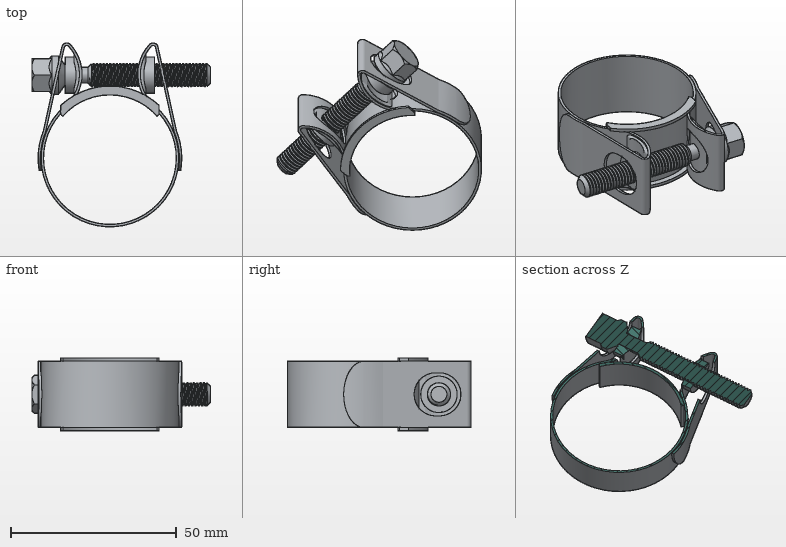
import cadquery as cq
import math

BAND_INNER_R = 20.0
STRAP_T = 0.8
STRAP_W = 20.0
BAND_OUTER_R = BAND_INNER_R + STRAP_T
TAB_GAP = 0.1
TAB_INNER_R = BAND_OUTER_R + TAB_GAP
TAB_ROUND_START_Y = 2.4
TAB_TIP_Y = -3.75
LOOP_TOP_Y = 34.73
LOOP_FOLD_R = 1.55
BOW_R = 13.3
LEG_LEAN = math.radians(12.4)
BOW_CENTRE_X = -21.7
SLOT_W = 13.0
SLOT_L = 14.1
SLOT_Y = 24.57

BRIDGE_T = 1.0
BRIDGE_HALF_L = 14.87
BRIDGE_FLANGE_R = 21.75
BRIDGE_W = STRAP_W + 2 * BRIDGE_T
BRIDGE_END_ANGLE = math.radians(41.5)

BOLT_Y = 25.0
BOLT_START_X = -23.58
BOLT_END_X = 30.42
HEX_FLATS = 10.0
FLANGE_R = 5.85
FLANGE_EDGE_X = -17.5
FLANGE_FACE_X = -15.55
SEAT_R = 3.0
SHANK_R = 2.4
THREAD_R = 3.5
THREAD_START_X = -6.65
THREAD_PITCH = 1.0
THREAD_DEPTH = 0.55
THREAD_GROOVE_W = 0.7
THREAD_LIP = 0.1
THREAD_CHAMFER = THREAD_R - SHANK_R

PLATE_FLAT_X = 10.9
PLATE_H = 19.0
PLATE_EDGE_R = 1.0
HOLLOW_HALF_W = 4.16
HOLLOW_DEPTH = 0.67
BOSS_R = 5.5
BOSS_END_X = 13.5

CENTRE_DISTANCE = BOW_R + BAND_INNER_R
BOW_CENTRE_Y = math.sqrt(CENTRE_DISTANCE**2 - BOW_CENTRE_X**2)
FOLD_CENTRE_Y = LOOP_TOP_Y - LOOP_FOLD_R
FOLD_CENTRE_X = BOW_CENTRE_X + math.sqrt((BOW_R - LOOP_FOLD_R) ** 2 - (FOLD_CENTRE_Y - BOW_CENTRE_Y) ** 2)
BOW_CENTRE = (BOW_CENTRE_X, BOW_CENTRE_Y)
FOLD_CENTRE = (FOLD_CENTRE_X, FOLD_CENTRE_Y)


def polar(centre, radius, angle):
    return (centre[0] + radius * math.cos(angle), centre[1] + radius * math.sin(angle))


def mirrored(body):
    return body.mirror("YZ")


def along_x(start_x, y=BOLT_Y):
    """Plane facing +X, with its local axes along Y and Z, centred at the given height."""
    return cq.Workplane("YZ", origin=(start_x, y, 0))


def strap_face(depth):
    """Points along one strap surface, at a depth below the outside of the loops.

    They run from the left tab over its loop, around the band and over the right loop to its tab.
    On the left they are: tab end, tab middle, crease, fold start, fold middle, fold end, bow middle
    and bow end. Then comes the bottom of the band and the mirror image of the left.
    """
    tab_r = TAB_INNER_R + STRAP_T - depth
    fold_r = LOOP_FOLD_R - depth
    bow_r = BOW_R - depth
    band_r = BAND_INNER_R + depth
    fold_start_angle = math.pi - LEG_LEAN
    fold_end_angle = math.atan2(FOLD_CENTRE_Y - BOW_CENTRE_Y, FOLD_CENTRE_X - BOW_CENTRE_X)
    bow_end_angle = math.atan2(-BOW_CENTRE_Y, -BOW_CENTRE_X)

    fold_start = polar(FOLD_CENTRE, fold_r, fold_start_angle)
    leg_distance = -fold_start[0] * math.cos(LEG_LEAN) + fold_start[1] * math.sin(LEG_LEAN)
    crease_angle = fold_start_angle - math.acos(leg_distance / tab_r)
    tab_end_angle = math.pi - math.asin(TAB_TIP_Y / tab_r)
    origin = (0, 0)
    left = [
        polar(origin, tab_r, tab_end_angle),
        polar(origin, tab_r, (tab_end_angle + crease_angle) / 2),
        polar(origin, tab_r, crease_angle),
        fold_start,
        polar(FOLD_CENTRE, fold_r, (fold_start_angle + fold_end_angle) / 2),
        polar(FOLD_CENTRE, fold_r, fold_end_angle),
        polar(BOW_CENTRE, bow_r, (fold_end_angle + bow_end_angle) / 2),
        polar(BOW_CENTRE, bow_r, bow_end_angle),
    ]
    right = [(-x, y) for x, y in reversed(left)]
    return left + [(0, -band_r)] + right


def trace_face(sketch, points):
    """Draw one strap surface from its first point; it reads the same from either end."""
    return (
        sketch.threePointArc(points[1], points[2])
        .lineTo(*points[3])
        .threePointArc(points[4], points[5])
        .threePointArc(points[6], points[7])
        .threePointArc(points[8], points[9])
        .threePointArc(points[10], points[11])
        .threePointArc(points[12], points[13])
        .lineTo(*points[14])
        .threePointArc(points[15], points[16])
    )


def tab_corners():
    """Material removed from the end of the tab to round it; the band under the tab is spared."""
    round_l = TAB_ROUND_START_Y - TAB_TIP_Y
    block = (
        cq.Workplane("XY")
        .box(4 * STRAP_T, 2 * round_l, 2 * STRAP_W)
        .translate((-TAB_INNER_R, TAB_ROUND_START_Y - round_l, 0))
    )
    rounded_end = (
        along_x(-2 * BAND_OUTER_R, TAB_ROUND_START_Y)
        .ellipse(round_l, STRAP_W / 2)
        .extrude(2 * BAND_OUTER_R)
    )
    band = cq.Workplane("XY").circle(TAB_INNER_R - TAB_GAP / 2).extrude(2 * STRAP_W, both=True)
    return block.cut(rounded_end).cut(band)


def make_strap():
    loop_outside = strap_face(0)
    loop_inside = strap_face(STRAP_T)
    loop_inside.reverse()
    outline = cq.Workplane("XY", origin=(0, 0, -STRAP_W / 2)).moveTo(*loop_outside[0])
    outline = trace_face(outline, loop_outside).lineTo(*loop_inside[0])
    strap = trace_face(outline, loop_inside).close().extrude(STRAP_W)

    bolt_slot = along_x(2 * BOW_CENTRE_X, SLOT_Y).slot2D(SLOT_L, SLOT_W).extrude(-2 * BOW_CENTRE_X)
    for opening in (tab_corners(), bolt_slot):
        strap = strap.cut(opening).cut(mirrored(opening))
    return strap


def bridge_sector(outer_r, width):
    reach = 2 * BRIDGE_FLANGE_R
    inner_r = BAND_INNER_R - BRIDGE_T
    ring = cq.Workplane("XY").circle(outer_r).circle(inner_r).extrude(width / 2, both=True)
    wedge = (
        cq.Workplane("XY")
        .polyline([
            (0, 0),
            polar((0, 0), reach, BRIDGE_END_ANGLE),
            (0, reach),
            polar((0, 0), reach, math.pi - BRIDGE_END_ANGLE),
        ])
        .close()
        .extrude(width, both=True)
    )
    sides = cq.Workplane("XY").box(2 * BRIDGE_HALF_L, 2 * reach, 2 * width)
    return ring.intersect(wedge).intersect(sides)


def make_bridge():
    channel = cq.Workplane("XY").circle(2 * BAND_OUTER_R).circle(BAND_INNER_R).extrude(STRAP_W / 2, both=True)
    return bridge_sector(BRIDGE_FLANGE_R, BRIDGE_W).cut(channel)


def thread_groove():
    """Helical V-groove along the bolt, deep enough to break through the crest surface."""
    length = BOLT_END_X - THREAD_CHAMFER - THREAD_START_X
    root_r = THREAD_R - THREAD_DEPTH
    slope = THREAD_GROOVE_W / 2 / THREAD_DEPTH
    lip_r = THREAD_R + THREAD_LIP
    lip_half_w = slope * (lip_r - root_r)
    helix = cq.Wire.makeHelix(THREAD_PITCH, length, root_r)
    groove = (
        cq.Workplane("XZ")
        .polyline([(root_r, 0), (lip_r, -lip_half_w), (lip_r, lip_half_w)])
        .close()
        .sweep(cq.Workplane(helix), isFrenet=True)
    )
    return groove.rotate((0, 0, 0), (0, 1, 0), 90).translate((THREAD_START_X, BOLT_Y, 0))


def make_bolt():
    hex_corner_r = HEX_FLATS / math.sqrt(3)
    flange_root_x = FLANGE_EDGE_X - (FLANGE_R - SHANK_R)
    hexagon = (
        along_x(BOLT_START_X)
        .polygon(6, 2 * hex_corner_r)
        .extrude(FLANGE_EDGE_X - BOLT_START_X)
        .rotate((0, BOLT_Y, 0), (1, BOLT_Y, 0), 30)
    )
    end_cone = (
        cq.Workplane("XY")
        .polyline([
            (BOLT_START_X, 0),
            (BOLT_START_X, HEX_FLATS / 2),
            (BOLT_START_X + hex_corner_r - HEX_FLATS / 2, hex_corner_r),
            (FLANGE_EDGE_X, hex_corner_r),
            (FLANGE_EDGE_X, 0),
        ])
        .close()
        .revolve(360, (0, 0, 0), (1, 0, 0))
        .translate((0, BOLT_Y, 0))
    )
    stem = (
        cq.Workplane("XY")
        .polyline([
            (flange_root_x, 0),
            (flange_root_x, SHANK_R),
            (FLANGE_EDGE_X, FLANGE_R),
            (FLANGE_FACE_X, FLANGE_R),
            (-BOSS_END_X, SEAT_R),
            (-BOSS_END_X, SHANK_R),
            (THREAD_START_X, SHANK_R),
            (THREAD_START_X + THREAD_CHAMFER, THREAD_R),
            (BOLT_END_X - THREAD_CHAMFER, THREAD_R),
            (BOLT_END_X, SHANK_R),
            (BOLT_END_X, 0),
        ])
        .close()
        .revolve(360, (0, 0, 0), (1, 0, 0))
        .translate((0, BOLT_Y, 0))
    )
    return hexagon.intersect(end_cone).union(stem).cut(thread_groove())


def trunnion(bore_r):
    """Trunnion seated in the left-hand bow."""
    plate_r = BOW_R - STRAP_T
    half_chord = math.sqrt(plate_r**2 - (PLATE_FLAT_X + BOW_CENTRE_X) ** 2)
    plate = (
        cq.Workplane("XY")
        .moveTo(-PLATE_FLAT_X, BOW_CENTRE_Y - half_chord)
        .threePointArc((BOW_CENTRE_X + plate_r, BOW_CENTRE_Y), (-PLATE_FLAT_X, BOW_CENTRE_Y + half_chord))
        .close()
        .extrude(PLATE_H / 2, both=True)
    )
    rounded_block = (
        cq.Workplane("XY")
        .box(PLATE_FLAT_X, 2 * BOW_R, PLATE_H)
        .faces("<X")
        .edges("|Y")
        .fillet(PLATE_EDGE_R)
        .translate((-PLATE_FLAT_X / 2, BOW_CENTRE_Y, 0))
    )
    hollow = (
        cq.Workplane("XY")
        .moveTo(-PLATE_FLAT_X, BOLT_Y + HOLLOW_HALF_W)
        .threePointArc((HOLLOW_DEPTH - PLATE_FLAT_X, BOLT_Y), (-PLATE_FLAT_X, BOLT_Y - HOLLOW_HALF_W))
        .close()
        .extrude(PLATE_H / 2, both=True)
    )
    boss = along_x(-BOSS_END_X).circle(BOSS_R).extrude(BOSS_END_X - PLATE_FLAT_X + HOLLOW_DEPTH)
    bore = along_x(-BOSS_END_X).circle(bore_r).extrude(BOSS_END_X)
    return plate.intersect(rounded_block).cut(hollow).union(boss).cut(bore)


strap = make_strap()
bridge = make_bridge()
bolt = make_bolt()
washer_trunnion = trunnion(SHANK_R)
nut_trunnion = mirrored(trunnion(THREAD_R))

result = cq.Compound.makeCompound(
    [strap.val(), bridge.val(), bolt.val(), washer_trunnion.val(), nut_trunnion.val()]
)